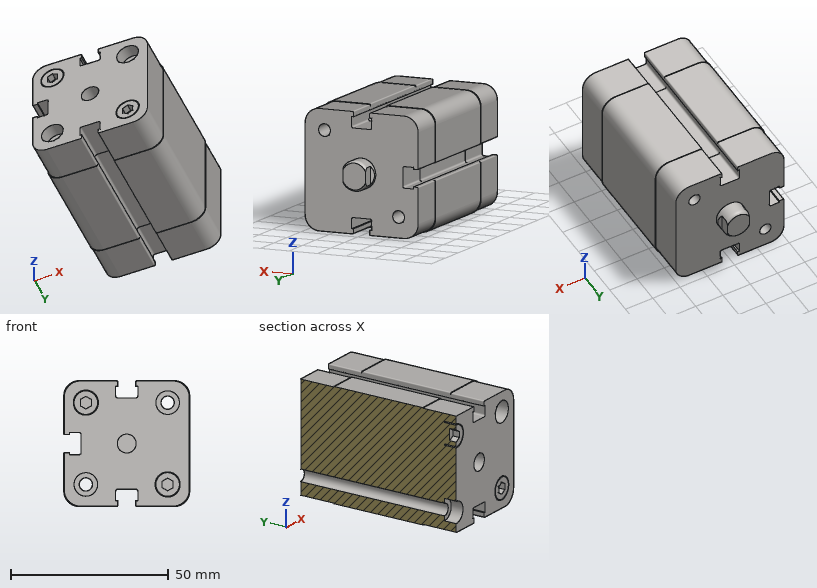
import cadquery as cq
import math

BODY_LENGTH = 59.5
ROD_PROJECTION = 5.5
CAP_LENGTH = 12.75

TUBE_WIDTH = 40.1
CAP_WIDTH = 39.7
CORNER_RADIUS = 5.0

SLOT_MOUTH_WIDTH = 5.7
SLOT_INNER_WIDTH = 7.0
CAP_SLOT_FLOOR_HEIGHT = 14.5
TUBE_SLOT_FLOOR_HEIGHT = 14.55
SLOT_LIP_HEIGHT = 18.15
SLOT_FLOOR_RADIUS = 0.6
SLOT_MOUTH_RADIUS = 0.4
SLOT_ANGLES = (0, 90, 180)

CORNER_OFFSET = 13.0
THROUGH_DIAMETER = 4.13
COUNTERBORE_DIAMETER = 7.5
COUNTERBORE_DEPTH = 4.5
SCREW_RECESS_DIAMETER = 8.0
SCREW_HEAD_DIAMETER = 7.5
SCREW_RECESS_DEPTH = COUNTERBORE_DEPTH
HEX_ACROSS_FLATS = 3.5
HEX_DEPTH = 2.5
HEX_TURN = 90
CENTER_HOLE_DIAMETER = 6.0
CENTER_HOLE_DEPTH = 6.0

ROD_DIAMETER = 10.0
ROD_ACROSS_FLATS = 8.0
ROD_FLAT_LENGTH = 3.5
ROD_END_ROUND_LENGTH = 1.3
ROD_END_ROUND_DEPTH = 0.65

HOLE_POINTS = [(-CORNER_OFFSET, -CORNER_OFFSET), (CORNER_OFFSET, CORNER_OFFSET)]
SCREW_POINTS = [(-CORNER_OFFSET, CORNER_OFFSET), (CORNER_OFFSET, -CORNER_OFFSET)]


def section_plane(y):
    """Plane across the body at y with axes +X and +Z; a negative extrusion runs toward +Y."""
    return cq.Workplane("XZ", origin=(0, y, 0))


def square_bar(width, start, length):
    """Square bar along Y with rounded corners."""
    bar = section_plane(start).rect(width, width).extrude(-length)
    return bar.edges("|Y").fillet(CORNER_RADIUS)


def make_slot(start, length, body_width, floor_height):
    """T-slot cutter opening upward (+Z), with rounded floor corners and mouth edges."""
    mouth = SLOT_MOUTH_WIDTH / 2
    top = body_width / 2
    flare = mouth + SLOT_MOUTH_RADIUS
    flare_bottom = top - SLOT_MOUTH_RADIUS
    arc_inset = SLOT_MOUTH_RADIUS * (1 - math.sqrt(0.5))
    undercut_height = SLOT_LIP_HEIGHT - floor_height
    undercut = section_plane(start).rect(SLOT_INNER_WIDTH, undercut_height).extrude(-length)
    undercut = undercut.edges("|Y and <Z").fillet(SLOT_FLOOR_RADIUS)
    undercut = undercut.translate((0, 0, floor_height + undercut_height / 2))
    opening = (
        section_plane(start)
        .moveTo(-mouth, SLOT_LIP_HEIGHT)
        .lineTo(mouth, SLOT_LIP_HEIGHT)
        .lineTo(mouth, flare_bottom)
        .threePointArc((mouth + arc_inset, top - arc_inset), (flare, top))
        .lineTo(-flare, top)
        .threePointArc((-mouth - arc_inset, top - arc_inset), (-mouth, flare_bottom))
        .close()
        .extrude(-length)
    )
    return undercut.union(opening)


def make_body():
    """Tube between two slightly smaller end caps, slotted on three sides."""
    tube_length = BODY_LENGTH - 2 * CAP_LENGTH
    sections = [
        (CAP_WIDTH, CAP_SLOT_FLOOR_HEIGHT, 0, CAP_LENGTH),
        (TUBE_WIDTH, TUBE_SLOT_FLOOR_HEIGHT, CAP_LENGTH, tube_length),
        (CAP_WIDTH, CAP_SLOT_FLOOR_HEIGHT, CAP_LENGTH + tube_length, CAP_LENGTH),
    ]
    body = None
    for width, floor_height, start, length in sections:
        bar = square_bar(width, start, length)
        for angle in SLOT_ANGLES:
            slot = make_slot(start, length, width, floor_height)
            bar = bar.cut(slot.rotate((0, 0, 0), (0, 1, 0), -angle))
        body = bar if body is None else body.union(bar)
    return body


def cut_holes(body):
    """Two counterbored through holes and a blind centre hole, all from the front face."""
    through = section_plane(0).pushPoints(HOLE_POINTS).circle(THROUGH_DIAMETER / 2).extrude(-BODY_LENGTH)
    counterbores = (
        section_plane(0).pushPoints(HOLE_POINTS).circle(COUNTERBORE_DIAMETER / 2).extrude(-COUNTERBORE_DEPTH)
    )
    center = section_plane(0).circle(CENTER_HOLE_DIAMETER / 2).extrude(-CENTER_HOLE_DEPTH)
    return body.cut(through).cut(counterbores).cut(center)


def cut_screws(body):
    """Socket-head screws flush with the front face, each with a narrow gap around its head."""
    gaps = (
        section_plane(0)
        .pushPoints(SCREW_POINTS)
        .circle(SCREW_RECESS_DIAMETER / 2)
        .circle(SCREW_HEAD_DIAMETER / 2)
        .extrude(-SCREW_RECESS_DEPTH)
    )
    body = body.cut(gaps)
    hex_corner_diameter = HEX_ACROSS_FLATS / math.cos(math.pi / 6)
    for x, z in SCREW_POINTS:
        socket = section_plane(0).polygon(6, hex_corner_diameter).extrude(-HEX_DEPTH)
        socket = socket.rotate((0, 0, 0), (0, 1, 0), HEX_TURN).translate((x, 0, z))
        body = body.cut(socket)
    return body


def make_rod():
    """Rod end turned about Y, with two flats whose ends slope out at 45 degrees."""
    radius = ROD_DIAMETER / 2
    half_flats = ROD_ACROSS_FLATS / 2
    tip = BODY_LENGTH + ROD_PROJECTION
    flat_start = tip - ROD_FLAT_LENGTH
    round_start = tip - ROD_END_ROUND_LENGTH
    turned = (
        cq.Workplane("XY")
        .moveTo(0, BODY_LENGTH)
        .lineTo(radius, BODY_LENGTH)
        .lineTo(radius, round_start)
        .tangentArcPoint((radius - ROD_END_ROUND_DEPTH, tip), relative=False)
        .lineTo(0, tip)
        .close()
        .revolve(360, (0, 0, 0), (0, 1, 0))
    )
    slope = radius - half_flats
    flat_cutter = (
        cq.Workplane("XY")
        .moveTo(half_flats, tip)
        .lineTo(half_flats, flat_start)
        .lineTo(radius, flat_start - slope)
        .lineTo(radius, tip)
        .close()
        .extrude(radius, both=True)
    )
    return turned.cut(flat_cutter).cut(flat_cutter.mirror("YZ"))


result = cut_screws(cut_holes(make_body())).union(make_rod())